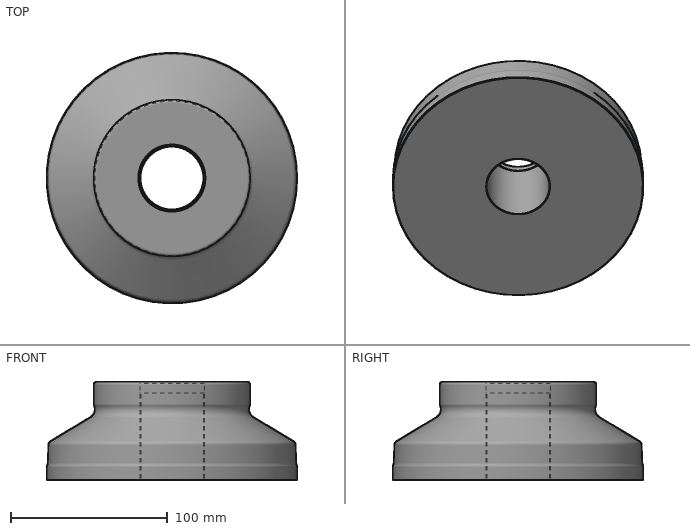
import cadquery as cq
import math

rim_radius = 80.0
hub_radius = 50.0
total_height = 63.0

hub_top_fillet = 2.0
hub_lip_radius = 2.0
waist_cove_radius = 6.0
shoulder_radius = 3.0
rim_cove_radius = 4.0
rim_edge_radius = 2.0
base_chamfer = 0.5

hub_bottom_z = 48.7
waist_radius = 49.3
shoulder_center_z = 22.5
rim_top_z = 8.7
cone_slope = 31.0
wall_draft = 2.0

bore_radius = 20.5
bore_chamfer = 1.0
sleeve_inner_radius = 20.0
sleeve_recess = 7.0


def polar_point(center, radius, angle):
    """Point at a radius from a center; the angle in degrees rises from the outward direction."""
    turn = math.radians(angle)
    return (center[0] + radius * math.cos(turn), center[1] + radius * math.sin(turn))


def add_arc(profile, center, radius, start_angle, end_angle):
    """Continue a profile with an arc, given by its center and its two end angles."""
    middle_angle = (start_angle + end_angle) / 2
    return profile.threePointArc(
        polar_point(center, radius, middle_angle), polar_point(center, radius, end_angle)
    )


def revolve_profile(profile):
    """Turn a closed (radius, height) profile about the Z axis."""
    return profile.close().revolve(360, (0, 0, 0), (0, 1, 0))


def make_housing():
    lip_center = (hub_radius - hub_lip_radius, hub_bottom_z)
    cove_center_radius = waist_radius + waist_cove_radius
    lip_to_cove = hub_lip_radius + waist_cove_radius
    lip_angle = math.degrees(math.acos((cove_center_radius - lip_center[0]) / lip_to_cove))
    waist_center = polar_point(lip_center, lip_to_cove, -lip_angle)
    cone_normal = 90 - cone_slope
    cone_top = polar_point(waist_center, waist_cove_radius, 180 + cone_normal)

    cone_foot_z = shoulder_center_z + shoulder_radius * math.cos(math.radians(cone_slope))
    cone_foot_radius = cone_top[0] + (cone_top[1] - cone_foot_z) / math.tan(math.radians(cone_slope))
    cone_foot = (cone_foot_radius, cone_foot_z)
    shoulder_center = polar_point(cone_foot, -shoulder_radius, cone_normal)

    edge_center = (rim_radius - rim_edge_radius, rim_top_z)
    edge_to_cove = rim_edge_radius + rim_cove_radius
    draft = math.radians(wall_draft)
    shoulder_offset = (
        (shoulder_center[0] - edge_center[0]) * math.cos(draft)
        + (shoulder_center[1] - edge_center[1]) * math.sin(draft)
    )
    cove_offset = shoulder_offset + shoulder_radius + rim_cove_radius
    edge_angle = wall_draft + math.degrees(math.acos(cove_offset / edge_to_cove))
    rim_cove_center = polar_point(edge_center, edge_to_cove, edge_angle)
    wall_foot = polar_point(rim_cove_center, rim_cove_radius, 180 + wall_draft)

    profile = (
        cq.Workplane("XZ")
        .moveTo(bore_radius, 0)
        .lineTo(bore_radius, total_height - bore_chamfer)
        .lineTo(bore_radius + bore_chamfer, total_height)
        .lineTo(hub_radius - hub_top_fillet, total_height)
    )
    hub_top_center = (hub_radius - hub_top_fillet, total_height - hub_top_fillet)
    profile = add_arc(profile, hub_top_center, hub_top_fillet, 90, 0)
    profile = profile.lineTo(hub_radius, hub_bottom_z)
    profile = add_arc(profile, lip_center, hub_lip_radius, 0, -lip_angle)
    profile = add_arc(profile, waist_center, waist_cove_radius, 180 - lip_angle, 180 + cone_normal)
    profile = profile.lineTo(*cone_foot)
    profile = add_arc(profile, shoulder_center, shoulder_radius, cone_normal, wall_draft)
    profile = profile.lineTo(*wall_foot)
    profile = add_arc(profile, rim_cove_center, rim_cove_radius, 180 + wall_draft, 180 + edge_angle)
    profile = add_arc(profile, edge_center, rim_edge_radius, edge_angle, 0)
    profile = profile.lineTo(rim_radius, base_chamfer).lineTo(rim_radius - base_chamfer, 0)
    return revolve_profile(profile)


def make_sleeve():
    """Thin liner that fills the housing bore up to its recessed top."""
    sleeve_height = total_height - sleeve_recess
    return cq.Workplane("XY").circle(bore_radius).circle(sleeve_inner_radius).extrude(sleeve_height)


housing = make_housing()
sleeve = make_sleeve()

result = cq.Compound.makeCompound([housing.val(), sleeve.val()])